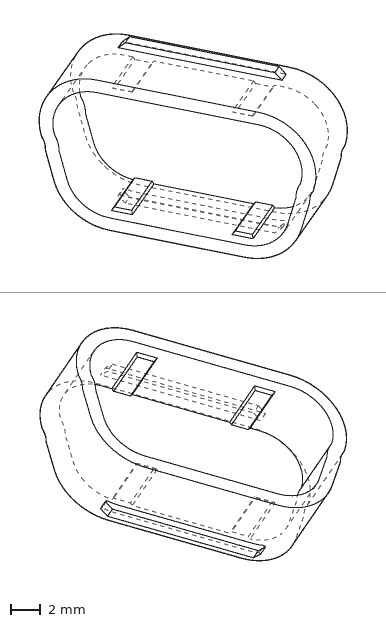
import cadquery as cq
import math

depth = 6.1
height = 11.8
wall = 1.0
floor_thickness = 1.0

corner_radius = 4.18
overall_width = 19.98
bend_radius = 1.3
flank_angle = 15.0
bend_angle = 30.0

rib_height = 0.5
rib_base_length = 11.83
rib_top_length = 10.79
rib_width = 0.82
rib_back_gap = 0.92

pad_length_x = 1.52
pad_height = 0.18
pad_bevel = 0.14
pad_mouth_bevel = 0.24
pad_center_x = 4.35
pad_mouth_gap = 0.92

half_depth = depth / 2
half_height = height / 2
floor_y = half_depth - floor_thickness


def arc_point(center, radius, angle):
    """Point on a circle; the angle is in degrees, counterclockwise from +X."""
    turn = math.radians(angle)
    return (center[0] + radius * math.cos(turn), center[1] + radius * math.sin(turn))


def add_arc(path, center, radius, start, end):
    """Continue the path along a circle from its start angle to its end angle."""
    middle = arc_point(center, radius, (start + end) / 2)
    return path.threePointArc(middle, arc_point(center, radius, end))


def cup_profile():
    """Outer outline of the cup in the XZ plane, mirrored about the Z axis."""
    upper = (overall_width / 2 - corner_radius, half_height - corner_radius)
    upper_end = arc_point(upper, corner_radius, -flank_angle)

    first_bend = arc_point(upper_end, bend_radius, 180 - flank_angle)
    first_end = arc_point(first_bend, bend_radius, -bend_angle)
    middle_bend = arc_point(first_end, bend_radius, -bend_angle)
    middle_end = arc_point(middle_bend, bend_radius, 180)
    last_bend = arc_point(middle_end, bend_radius, 180)
    flank_start = arc_point(last_bend, bend_radius, -flank_angle)

    slant = math.radians(flank_angle)
    lower_z = corner_radius - half_height
    flank_end_z = lower_z - corner_radius * math.sin(slant)
    flank_end_x = flank_start[0] - (flank_start[1] - flank_end_z) * math.tan(slant)
    lower = (flank_end_x - corner_radius * math.cos(slant), lower_z)

    path = cq.Workplane("XZ").moveTo(0, half_height).lineTo(upper[0], half_height)
    path = add_arc(path, upper, corner_radius, 90, -flank_angle)
    path = add_arc(path, first_bend, bend_radius, -flank_angle, -bend_angle)
    path = add_arc(path, middle_bend, bend_radius, 180 - bend_angle, 180)
    path = add_arc(path, last_bend, bend_radius, 0, -flank_angle)
    path = path.lineTo(flank_end_x, flank_end_z)
    path = add_arc(path, lower, corner_radius, -flank_angle, -90)
    return path.lineTo(0, -half_height).mirrorY()


def make_cup():
    outer = cup_profile().extrude(half_depth, both=True)
    cavity = cup_profile().offset2D(-wall).extrude(depth)
    cavity = cavity.translate((0, floor_y, 0))
    return outer.cut(cavity)


def make_rib(side):
    """Rib with sloped ends, tapering inward again to a root buried in the wall.

    The side is +1 for the top face and -1 for the bottom face.
    """
    base_z = side * half_height
    top_z = side * (half_height + rib_height)
    root_z = side * (half_height - rib_height)
    outline = [
        (-rib_top_length / 2, root_z),
        (-rib_base_length / 2, base_z),
        (-rib_top_length / 2, top_z),
        (rib_top_length / 2, top_z),
        (rib_base_length / 2, base_z),
        (rib_top_length / 2, root_z),
    ]
    rib = cq.Workplane("XZ").polyline(outline).close().extrude(rib_width)
    return rib.translate((0, half_depth - rib_back_gap, 0))


def make_pad(side, center_x):
    """Pad running from the cup floor, beveled along its sides and mouth end."""
    base_z = side * (half_height - wall)
    top_z = base_z - side * pad_height
    half_base = pad_length_x / 2
    half_top = half_base - pad_bevel
    mouth_y = pad_mouth_gap - half_depth
    outline = [
        (center_x - half_base, base_z),
        (center_x - half_top, top_z),
        (center_x + half_top, top_z),
        (center_x + half_base, base_z),
    ]
    pad = cq.Workplane("XZ", origin=(0, floor_y, 0)).polyline(outline).close()
    pad = pad.extrude(floor_y - mouth_y)
    bevel_outline = [(mouth_y, base_z), (mouth_y, top_z), (mouth_y + pad_mouth_bevel, top_z)]
    bevel = cq.Workplane("YZ", origin=(center_x, 0, 0)).polyline(bevel_outline).close()
    return pad.cut(bevel.extrude(half_base, both=True))


result = make_cup()
for side in (1, -1):
    result = result.union(make_rib(side))
    for center_x in (-pad_center_x, pad_center_x):
        result = result.union(make_pad(side, center_x))